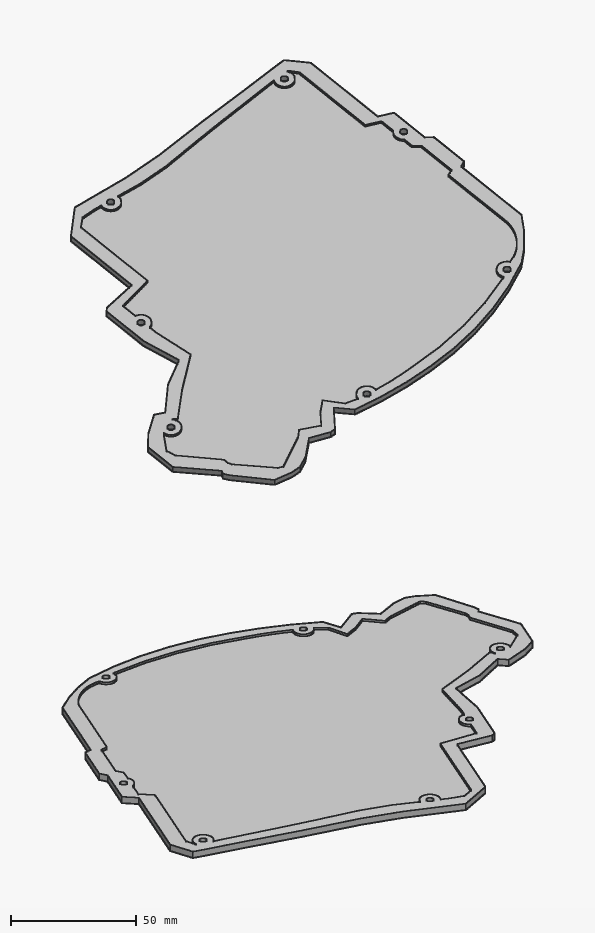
import cadquery as cq


length_x = 166.52
width_y = 197.92
thickness = 3.0

west_x = -length_x / 2
east_x = length_x / 2
north_y = width_y / 2
south_y = -width_y / 2

pocket_depth = 1.0
floor_z = thickness - pocket_depth
boss_diameter = 8.5
hole_diameter = 3.0

north_rim = 6.85
tab_height = 2.75
step_height = 6.15
shoulder_y = north_y - tab_height
step_y = shoulder_y - step_height
tab_west_x = -12.0
tab_east_x = 5.9
tab_foot_west_x = -14.4
tab_foot_east_x = 7.1
step_top_x = -32.5
step_bottom_x = -35.4

south_rim = 6.2
shelf_rim = 6.8
south_edge_y = -44.2
shelf_y = -61.3
shelf_east_x = -9.2

screw_centers = [
    (-75.7, 76.4),
    (-22.3, 92.1),
    (60.6, 71.9),
    (72.3, -15.1),
    (-73.6, -19.9),
    (-17.3, -55.3),
    (32.5, -84.9),
]


def north_side(rim):
    """Points of the stepped north side, east to west, set in by the given rim width."""
    return [
        (tab_foot_east_x, shoulder_y - rim),
        (tab_east_x, north_y - rim),
        (tab_west_x, north_y - rim),
        (tab_foot_west_x, shoulder_y - rim),
        (step_top_x, shoulder_y - rim),
        (step_bottom_x, step_y - rim),
    ]


def plate_outline():
    """Outer edge, counter-clockwise from the north-west corner."""
    west_side = [
        (-83.1, 79.1),
        (-82.0, 59.9),
        (-80.9, 36.6),
        (-79.2, 11.6),
        (-79.2, -6.5),
        (-81.2, -32.5),
    ]
    south_side = [
        (-70.8, south_edge_y),
        (-34.8, south_edge_y),
        (-32.5, -59.9),
        (-31.2, shelf_y),
        (shelf_east_x, shelf_y),
        (7.9, -57.9),
    ]
    thumb_south_side = [
        (14.7, -70.2),
        (25.0, -81.2),
        (22.9, -85.3),
        (29.1, -94.2),
        (34.1, south_y),
        (48.8, south_y),
        (63.6, -86.0),
        (65.1, -86.7),
        (67.5, -85.3),
        (81.6, -73.8),
    ]
    thumb_east_side = [
        (east_x, -65.8),
        (east_x, -61.5),
        (80.7, -56.2),
        (74.2, -48.3),
        (77.7, -39.7),
        (77.7, -37.3),
        (68.8, -29.8),
        (75.3, -24.3),
    ]
    return (
        cq.Workplane("XY")
        .moveTo(west_x, 83.2)
        .polyline(west_side + south_side, includeCurrent=True)
        .polyline(thumb_south_side + thumb_east_side, includeCurrent=True)
        .threePointArc((77.9, -5.5), (78.5, 13.7))
        .threePointArc((73.8, 48.3), (62.0, 78.4))
        .threePointArc((53.0, 88.4), (42.8, shoulder_y))
        .polyline(north_side(0) + [(-75.0, step_y)], includeCurrent=True)
        .close()
    )


def pocket_outline():
    """Inner edge of the rim, counter-clockwise from the north-west corner."""
    west_side = [
        (-77.9, 80.5),
        (-77.9, 72.3),
        (-77.3, 64.0),
        (-75.7, 41.1),
        (-74.7, 28.8),
        (-72.9, 9.6),
        (-72.9, -4.1),
        (-75.1, -27.4),
        (-75.1, -33.9),
    ]
    south_side = [
        (-71.6, south_edge_y + south_rim),
        (-32.2, south_edge_y + south_rim),
        (-28.9, shelf_y + shelf_rim),
        (shelf_east_x, shelf_y + shelf_rim),
        (8.8, -52.4),
    ]
    thumb_south_side = [
        (20.2, -67.5),
        (31.0, -79.9),
        (29.7, -81.4),
        (29.7, -87.0),
        (40.8, -94.9),
        (44.9, -94.0),
        (59.9, -81.2),
        (62.0, -81.3),
        (63.7, -80.7),
        (77.7, -68.4),
    ]
    thumb_east_side = [
        (78.6, -66.4),
        (70.7, -51.0),
        (68.2, -48.2),
        (72.6, -40.1),
        (66.8, -35.3),
        (62.8, -30.5),
        (70.2, -25.0),
        (71.7, -19.9),
    ]
    return (
        cq.Workplane("XY")
        .workplane(offset=floor_z)
        .moveTo(-74.3, step_y - north_rim)
        .polyline(west_side + south_side, includeCurrent=True)
        .polyline(thumb_south_side + thumb_east_side, includeCurrent=True)
        .threePointArc((73.6, -5.0), (73.8, 8.2))
        .threePointArc((70.8, 41.1), (63.0, 67.5))
        .lineTo(58.2, 76.0)
        .threePointArc((53.1, 84.2), (42.1, shoulder_y - north_rim))
        .polyline(north_side(north_rim), includeCurrent=True)
        .close()
    )


def screw_cylinders(diameter, bottom_z):
    """One cylinder per screw, from the given height up to the rim's top face."""
    return (
        cq.Workplane("XY")
        .workplane(offset=bottom_z)
        .pushPoints(screw_centers)
        .circle(diameter / 2)
        .extrude(thickness - bottom_z)
    )


plate = plate_outline().extrude(thickness)
pocket = pocket_outline().extrude(pocket_depth)
bosses = screw_cylinders(boss_diameter, floor_z)
holes = screw_cylinders(hole_diameter, 0)

result = plate.cut(pocket.cut(bosses)).cut(holes)